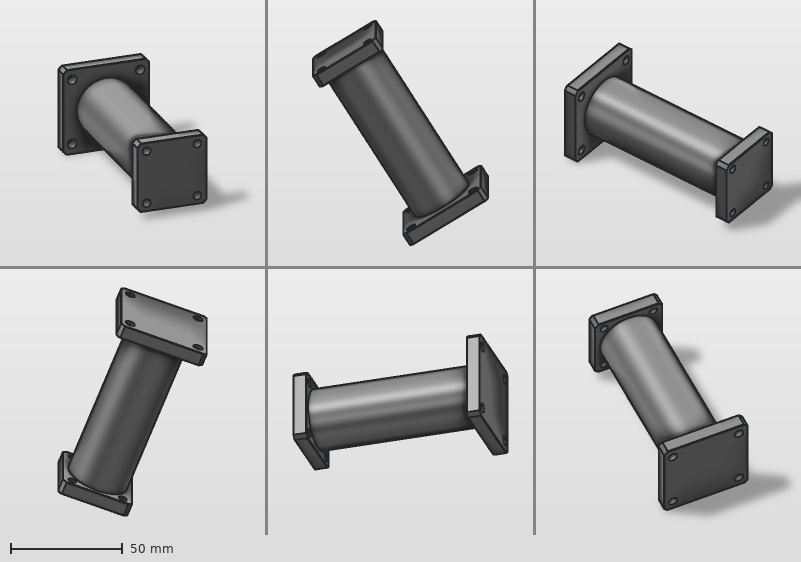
import cadquery as cq

total_length = 88.9
flange_thickness = 6.2
body_diameter = 28.1
corner_chamfer = 1.9
edge_break = 0.3

large_side = 41.25
large_hole_spacing_y = 32.5
large_hole_spacing_z = 31.0
large_hole_diameter = 4.4

small_side = 33.3
small_hole_spacing_y = 24.3
small_hole_spacing_z = 25.25
small_hole_diameter = 3.7


def make_flange(side, spacing_y, spacing_z, hole_diameter):
    """Square flange from X = 0, with cut corners, broken face edges and four bolt holes."""
    square = cq.Workplane("YZ").rect(side, side).extrude(flange_thickness)
    cut_corners = square.edges("|X").chamfer(corner_chamfer)
    plate = square.faces("<X or >X").edges().chamfer(edge_break).intersect(cut_corners)
    holes = (
        cq.Workplane("YZ")
        .rect(spacing_y, spacing_z, forConstruction=True)
        .vertices()
        .circle(hole_diameter / 2)
        .extrude(flange_thickness)
    )
    return plate.cut(holes)


large_flange = make_flange(
    large_side, large_hole_spacing_y, large_hole_spacing_z, large_hole_diameter
)
small_flange = make_flange(
    small_side, small_hole_spacing_y, small_hole_spacing_z, small_hole_diameter
).translate((total_length - flange_thickness, 0, 0))

body = (
    cq.Workplane("YZ")
    .workplane(offset=flange_thickness)
    .circle(body_diameter / 2)
    .extrude(total_length - 2 * flange_thickness)
)

result = large_flange.union(body).union(small_flange)